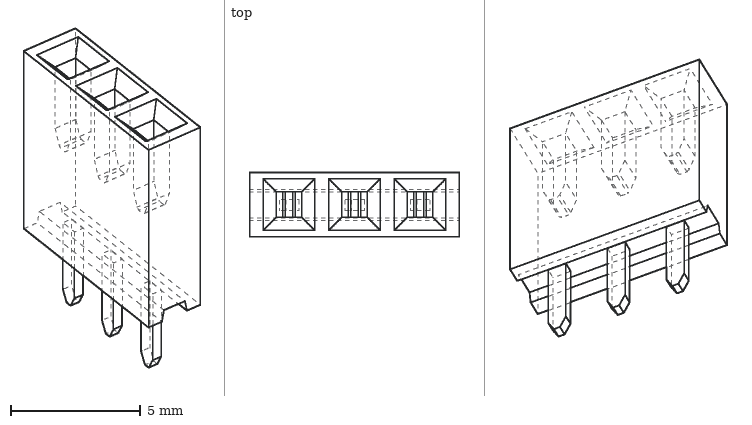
import cadquery as cq

positions = 3
pitch = 2.54
length = 8.12
width = 2.5
total_height = 11.7
body_height = 8.51
pin_length = total_height - body_height

groove_depth = 0.5
groove_mouth = 1.2
groove_roof = 1.01

funnel_mouth = 2.0
throat = 1.0
funnel_depth = (funnel_mouth - throat) / 2
throat_depth = 2.92
neck_width = 0.49
floor_width = 0.3
upper_taper_depth = 0.65
lower_taper_depth = (neck_width - floor_width) / 2

pin_width = 0.76
pin_thickness = 0.42
tip_width = 0.26
tip_length = 0.5

pin_centers = [(i - (positions - 1) / 2) * pitch for i in range(positions)]


def make_housing():
    """Block standing on z = 0 with a tapered groove along its underside."""
    block = cq.Workplane("XY").box(length, width, body_height, centered=(True, True, False))
    groove = (
        cq.Workplane("YZ")
        .polyline([
            (-groove_mouth / 2, 0),
            (groove_mouth / 2, 0),
            (groove_roof / 2, groove_depth),
            (-groove_roof / 2, groove_depth),
        ])
        .close()
        .extrude(length / 2, both=True)
    )
    return block.cut(groove)


def make_socket(x):
    """Void of one socket: the lead-in funnel and the contact slot below it."""
    throat_z = body_height - funnel_depth
    seat_z = throat_z - throat_depth
    neck_z = seat_z - upper_taper_depth
    floor_z = neck_z - lower_taper_depth
    funnel = (
        cq.Workplane("XY", origin=(x, 0, body_height))
        .rect(funnel_mouth, funnel_mouth)
        .workplane(offset=-funnel_depth)
        .rect(throat, throat)
        .loft(ruled=True)
    )
    slot = (
        cq.Workplane("XZ", origin=(x, 0, 0))
        .polyline([
            (-throat / 2, throat_z),
            (-throat / 2, seat_z),
            (-neck_width / 2, neck_z),
            (-floor_width / 2, floor_z),
            (floor_width / 2, floor_z),
            (neck_width / 2, neck_z),
            (throat / 2, seat_z),
            (throat / 2, throat_z),
        ])
        .close()
        .extrude(throat / 2, both=True)
    )
    return funnel.union(slot)


def make_pin(x):
    """Flat pin from the groove roof down to a tip tapered across its width."""
    shoulder_z = tip_length - pin_length
    return (
        cq.Workplane("XZ", origin=(x, 0, 0))
        .polyline([
            (-pin_width / 2, groove_depth),
            (pin_width / 2, groove_depth),
            (pin_width / 2, shoulder_z),
            (tip_width / 2, -pin_length),
            (-tip_width / 2, -pin_length),
            (-pin_width / 2, shoulder_z),
        ])
        .close()
        .extrude(pin_thickness / 2, both=True)
    )


result = make_housing()
for center in pin_centers:
    result = result.cut(make_socket(center)).union(make_pin(center))